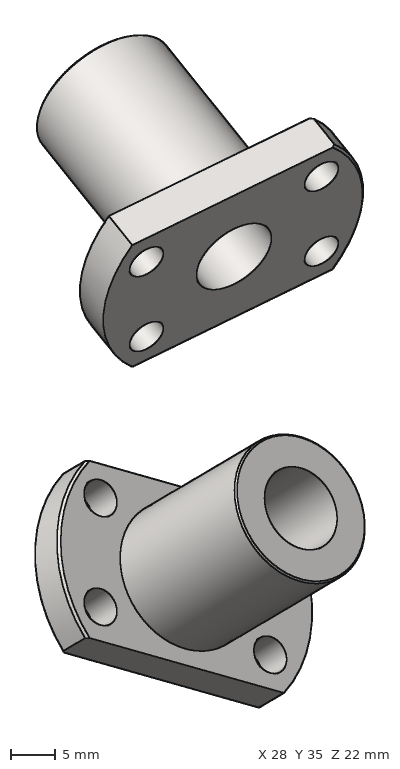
import cadquery as cq
import math

total_length = 28.0
flange_diameter = 35.0
flange_height = 22.0
flange_thickness = 5.0
barrel_diameter = 18.0
bore_diameter = 10.0
barrel_chamfer = 0.2
rim_chamfer = 0.3

hole_diameter = 4.5
bolt_circle_radius = 13.5
hole_angle = 30.0

flange_start = total_length - flange_thickness


def make_barrel():
    """Cylindrical sleeve with a small chamfer on its free end."""
    barrel = cq.Workplane("YZ").circle(barrel_diameter / 2).extrude(total_length)
    return barrel.faces("<X").chamfer(barrel_chamfer)


def make_flange():
    """Round plate with two flats; only its +Y rounded end is chamfered."""
    plate = (
        cq.Workplane("YZ", origin=(flange_start, 0, 0))
        .circle(flange_diameter / 2)
        .extrude(flange_thickness)
    )
    flats = cq.Workplane("XY").box(
        2 * total_length, 2 * flange_diameter, flange_height
    )
    plate = plate.intersect(flats)
    return plate.faces(">Y").edges("%CIRCLE").chamfer(rim_chamfer)


def hole_centers():
    y = bolt_circle_radius * math.cos(math.radians(hole_angle))
    z = bolt_circle_radius * math.sin(math.radians(hole_angle))
    return [(sy * y, sz * z) for sy in (-1, 1) for sz in (-1, 1)]


def make_through_cuts():
    """Central bore and the four mounting holes, all along X."""
    bore = cq.Workplane("YZ").circle(bore_diameter / 2).extrude(total_length)
    holes = (
        cq.Workplane("YZ")
        .pushPoints(hole_centers())
        .circle(hole_diameter / 2)
        .extrude(total_length)
    )
    return bore.union(holes)


bushing = make_barrel().union(make_flange())
result = bushing.cut(make_through_cuts())